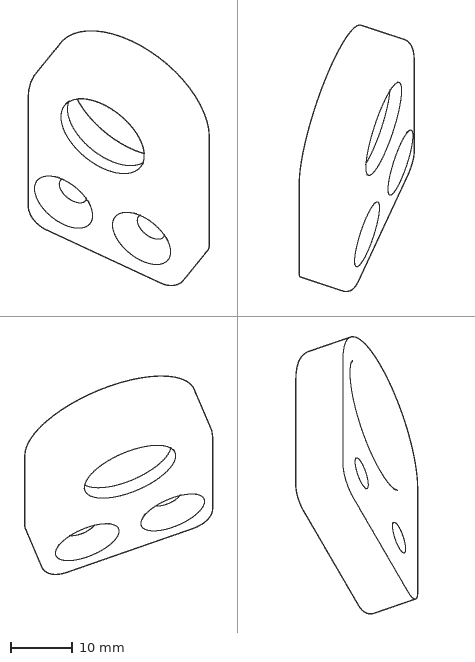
import cadquery as cq

width = 30.0
height = 46.0
thickness = 9.0
top_radius = width / 2
corner_radius = 4.0
front_fillet = 1.5

bore_diameter = 16.0
bore_z = height - top_radius
recess_diameter = 22.0
recess_depth = 7.0
recess_fillet = 1.5

screw_diameter = 5.3
countersink_diameter = 11.2
countersink_angle = 90
screw_spacing = 15.0
screw_z = 10.0


def make_plate():
    """Flat-bottomed plate with a semicircular top and a rounded front rim."""
    plate = (
        cq.Workplane("XZ")
        .moveTo(-width / 2, 0)
        .lineTo(width / 2, 0)
        .lineTo(width / 2, bore_z)
        .threePointArc((0, height), (-width / 2, bore_z))
        .close()
        .extrude(thickness)
    )
    plate = plate.edges("|Y and <Z").fillet(corner_radius)
    return plate.faces("<Y").edges().fillet(front_fillet)


def cut_bore(plate):
    """Cut the large hole and its wider recess, rounding the recess rim at the back face."""
    back = cq.Workplane("XZ").center(0, bore_z)
    bore = back.circle(bore_diameter / 2).extrude(thickness)
    recess = back.circle(recess_diameter / 2).extrude(recess_depth)
    plate = plate.cut(bore).cut(recess)
    rim_selector = cq.selectors.NearestToPointSelector((0, 0, bore_z))
    return plate.faces(">Y").edges(rim_selector).fillet(recess_fillet)


def cut_screw_holes(plate):
    """Cut two screw holes, countersunk from the front face."""
    front = cq.Workplane("XZ", origin=(0, -thickness, 0))
    return (
        plate.copyWorkplane(front)
        .pushPoints([(side * screw_spacing / 2, screw_z) for side in (-1, 1)])
        .cskHole(screw_diameter, countersink_diameter, countersink_angle)
    )


result = cut_screw_holes(cut_bore(make_plate()))